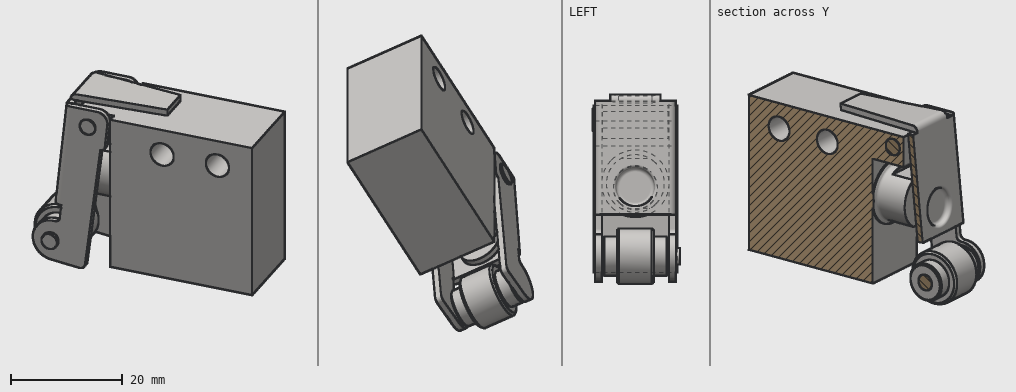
import cadquery as cq
import math


overall_length = 44.15
block_width = 15.0
block_height = 29.85
mount_hole_diameter = 4.5
mount_hole_first_x = 10.05
mount_hole_spacing = 10.75
mount_hole_z = 24.9
tongue_length = 6.95
tongue_width = 11.75
tongue_height = 5.87
plunger_z = 15.95
plunger_radius = 5.15
plunger_reach = 6.63
plunger_flat_offset = 4.5
plunger_flat_end = 2.05
collar_radius = 6.0
collar_rim = 0.18
collar_neck_start = 1.0
collar_neck_length = 0.45

lever_tilt = 6.0
pivot_x = -4.45
pivot_z = 27.35
sheet = 1.25
bend_radius = 1.3
lever_width = 14.5
plate_front = -4.9
plate_bottom = -17.5
cheek_top = 3.4
cheek_back = 3.6
step_z = -3.85
arm_back_top = 2.83
arm_back_bottom = 2.35
arm_front = -3.35
top_corner_radius = 2.0
step_outer_radius = 0.57
step_inner_radius = 0.35
bottom_corner_radius = 0.95
lobe_radius = 3.98
lobe_inset = 0.45
lobe_blend_radius = 0.95

finger_rise = 5.0
finger_length = 16.9
finger_root_width = 9.0
finger_tip_width = 6.0

dimple_z = -12.55
dimple_rim_radius = 3.95
dimple_wall_radius = 3.45
dimple_floor_radius = 2.8

pin_diameter = 3.0
pivot_pin_end = 7.45
pivot_head_diameter = 4.1
pivot_head_height = 0.45
pivot_head_chamfer = 0.18
roller_pin_end = 8.0
roller_axis_x = -4.6
roller_axis_z = -25.0
roller_diameter = 10.0
roller_width = 6.63
roller_chamfer = 0.4
hub_diameter = 7.02
hub_width = 11.57
hub_chamfer = 0.25

inner_width = lever_width - 2 * sheet
tilt = math.radians(lever_tilt)
roller_x = pivot_x + roller_axis_x * math.cos(tilt) + roller_axis_z * math.sin(tilt)
block_length = overall_length + roller_x - roller_diameter / 2
plate_back = plate_front + sheet
dimple_depth = dimple_rim_radius - dimple_floor_radius


def cylinder_along_y(x, z, diameter, y_min, y_max):
    """Cylinder with its axis parallel to Y, between two Y positions."""
    return cq.Workplane("XZ", origin=(x, y_max, z)).circle(diameter / 2).extrude(y_max - y_min)


def cheek_top_at(x):
    """Height of the top edge of the upright lever, sloped so that it ends up level."""
    return cheek_top / math.cos(tilt) + x * math.tan(tilt)


def make_plunger():
    neck_end_x = -collar_neck_start + collar_neck_length
    neck_radius = collar_neck_length / math.sin(math.radians(45))
    neck_end_r = plunger_radius + neck_radius * (1 - math.cos(math.radians(45)))
    profile = (
        cq.Workplane("XY")
        .moveTo(0, 0)
        .lineTo(-plunger_reach, 0)
        .lineTo(-plunger_reach, plunger_radius)
        .lineTo(-collar_neck_start, plunger_radius)
        .tangentArcPoint((neck_end_x, neck_end_r), relative=False)
        .lineTo(-collar_rim, collar_radius)
        .lineTo(0, collar_radius)
        .close()
    )
    plunger = profile.revolve(360, (0, 0, 0), (1, 0, 0))
    flat_length = plunger_reach - plunger_flat_end
    waste_height = plunger_radius
    for side in (1, -1):
        waste = cq.Workplane("XY").box(flat_length, 2 * plunger_radius, waste_height)
        waste_z = side * (plunger_flat_offset + waste_height / 2)
        plunger = plunger.cut(waste.translate((-plunger_flat_end - flat_length / 2, 0, waste_z)))
    return plunger.translate((0, 0, plunger_z))


def make_housing():
    block = cq.Workplane("XY").box(block_length, block_width, block_height, centered=(False, True, False))
    for index in range(2):
        hole_x = mount_hole_first_x + index * mount_hole_spacing
        block = block.cut(
            cylinder_along_y(hole_x, mount_hole_z, mount_hole_diameter, -block_width / 2, block_width / 2)
        )
    tongue = (
        cq.Workplane("XY")
        .box(tongue_length, tongue_width, tongue_height, centered=(False, True, False))
        .translate((-tongue_length, 0, block_height - tongue_height))
    )
    pin_hole = cylinder_along_y(pivot_x, pivot_z, pin_diameter, -tongue_width / 2, tongue_width / 2)
    return block.union(tongue.cut(pin_hole)).union(make_plunger())


def make_bracket():
    """Channel of bent sheet: a front plate and two cheeks that carry the pins."""
    lobe_x = roller_axis_x + lobe_inset
    lobe_top = roller_axis_z + math.sqrt(lobe_radius**2 - (arm_front - lobe_x) ** 2)
    lobe_bottom = roller_axis_z - lobe_radius
    bracket = (
        cq.Workplane("XZ")
        .moveTo(plate_front, cheek_top_at(plate_front))
        .lineTo(cheek_back, cheek_top_at(cheek_back))
        .lineTo(cheek_back, step_z)
        .lineTo(arm_back_top, step_z)
        .lineTo(arm_back_bottom, lobe_bottom)
        .lineTo(lobe_x, lobe_bottom)
        .threePointArc((lobe_x - lobe_radius, roller_axis_z), (arm_front, lobe_top))
        .lineTo(arm_front, plate_bottom)
        .lineTo(plate_front, plate_bottom)
        .close()
        .extrude(lever_width / 2, both=True)
    )
    rounded_corners = [
        (cheek_back, cheek_top_at(cheek_back), top_corner_radius),
        (cheek_back, step_z, step_outer_radius),
        (arm_back_top, step_z, step_inner_radius),
        (arm_back_bottom, lobe_bottom, bottom_corner_radius),
        (arm_front, lobe_top, lobe_blend_radius),
    ]
    for x, z, radius in rounded_corners:
        bracket = bracket.edges(cq.NearestToPointSelector((x, 0, z))).fillet(radius)

    cavity_size = 4 * lever_width
    cavity = cq.Workplane("XY").box(cavity_size, inner_width, cavity_size, centered=(False, True, True))
    bracket = bracket.cut(cavity.translate((plate_back, 0, 0)))
    roller_gap = cq.Workplane("XY").box(cavity_size, inner_width, cavity_size, centered=(True, True, False))
    bracket = bracket.cut(roller_gap.translate((0, 0, plate_bottom - cavity_size)))

    plate_width = lever_width - 2 * bend_radius
    plate_trim = cq.Workplane("XY").box(sheet, plate_width, sheet, centered=(False, True, False))
    bracket = bracket.cut(plate_trim.translate((plate_front, 0, cheek_top_at(plate_front))))

    bend_mid_z = (plate_bottom + cheek_top_at(plate_front)) / 2
    for side in (1, -1):
        corner = cq.NearestToPointSelector((plate_front, side * lever_width / 2, bend_mid_z))
        bracket = bracket.edges(corner).fillet(bend_radius)
    return bracket


def make_finger():
    """Strip that bends back over the block and narrows toward its tip."""
    rise = math.radians(finger_rise)
    root_z = cheek_top_at(plate_front)
    bend_x = plate_front + bend_radius

    def on_bend(radius, angle):
        return (bend_x + radius * math.cos(angle), root_z + radius * math.sin(angle))

    bend_end_angle = math.pi / 2 + rise
    outer_end = on_bend(bend_radius, bend_end_angle)
    inner_end = on_bend(bend_radius - sheet, bend_end_angle)
    run_x = finger_length * math.cos(rise)
    run_z = finger_length * math.sin(rise)
    side_profile = (
        cq.Workplane("XZ")
        .moveTo(plate_front, root_z)
        .threePointArc(on_bend(bend_radius, (math.pi + bend_end_angle) / 2), outer_end)
        .lineTo(outer_end[0] + run_x, outer_end[1] + run_z)
        .lineTo(inner_end[0] + run_x, inner_end[1] + run_z)
        .lineTo(*inner_end)
        .lineTo(plate_back, root_z)
        .close()
    )
    strip = side_profile.extrude(finger_root_width / 2, both=True)
    tip_x = inner_end[0] + run_x
    outline = (
        cq.Workplane("XY")
        .moveTo(plate_front, finger_root_width / 2)
        .lineTo(outer_end[0], finger_root_width / 2)
        .lineTo(tip_x, finger_tip_width / 2)
        .lineTo(tip_x, -finger_tip_width / 2)
        .lineTo(outer_end[0], -finger_root_width / 2)
        .lineTo(plate_front, -finger_root_width / 2)
        .close()
        .extrude(2 * finger_length)
    )
    return strip.intersect(outline)


def make_dimple_hollow():
    """Round hollow whose wall curves in from the rim and then out onto a flat floor."""
    rim_round = dimple_rim_radius - dimple_wall_radius
    floor_round = dimple_wall_radius - dimple_floor_radius
    diagonal = math.sqrt(0.5)
    rim_arc_middle = (rim_round * (1 - diagonal), dimple_rim_radius - rim_round * diagonal)
    floor_arc_middle = (
        rim_round + floor_round * diagonal,
        dimple_floor_radius + floor_round * diagonal,
    )
    hollow = (
        cq.Workplane("XY")
        .lineTo(0, dimple_rim_radius)
        .threePointArc(rim_arc_middle, (rim_round, dimple_wall_radius))
        .threePointArc(floor_arc_middle, (dimple_depth, dimple_floor_radius))
        .lineTo(dimple_depth, 0)
        .close()
        .revolve(360, (0, 0, 0), (1, 0, 0))
    )
    return hollow.translate((plate_front, 0, dimple_z))


def make_dimple_bulge():
    """Round boss that the dimple raises on the back of the front plate."""
    return (
        cq.Workplane("YZ", origin=(plate_back, 0, dimple_z))
        .circle(dimple_rim_radius)
        .extrude(dimple_depth)
    )


def make_pivot_pin():
    head_base = lever_width / 2
    shank = cylinder_along_y(0, 0, pin_diameter, -pivot_pin_end, head_base)
    head = cylinder_along_y(0, 0, pivot_head_diameter, head_base, head_base + pivot_head_height)
    return shank.union(head.faces("|Y").chamfer(pivot_head_chamfer))


def make_roller():
    """Roller with a narrower hub, on a pin that runs through both cheeks."""
    x, z = roller_axis_x, roller_axis_z
    roller = cylinder_along_y(x, z, roller_diameter, -roller_width / 2, roller_width / 2)
    hub = cylinder_along_y(x, z, hub_diameter, -hub_width / 2, hub_width / 2)
    pin = cylinder_along_y(x, z, pin_diameter, -roller_pin_end, lever_width / 2)
    return (
        roller.faces("|Y").chamfer(roller_chamfer)
        .union(hub.faces("|Y").chamfer(hub_chamfer))
        .union(pin)
    )


def make_lever():
    lever = (
        make_bracket()
        .union(make_finger())
        .union(make_dimple_bulge())
        .cut(make_dimple_hollow())
        .union(make_pivot_pin())
        .union(make_roller())
    )
    tilted = lever.rotate((0, 0, 0), (0, 1, 0), lever_tilt)
    return tilted.translate((pivot_x, 0, pivot_z))


housing = make_housing()
lever = make_lever()

result = cq.Compound.makeCompound([housing.val(), lever.val()])